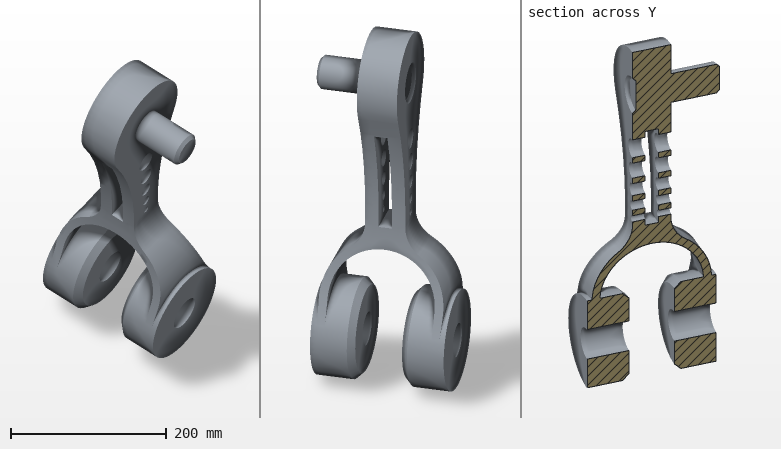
import cadquery as cq
import math

UNIT = 4.445

EYE_RADIUS = 15 * UNIT
EYE_SPACING = 82 * UNIT
WAIST_RADIUS = 80 * UNIT

STEM_HALF_THICKNESS = 6 * UNIT
PIN_RADIUS = 5 * UNIT
PIN_LENGTH = 15 * UNIT
PIN_CHAMFER = UNIT
RECESS_DEPTH = UNIT

FORK_CENTER_Z = 14 * UNIT
FORK_INNER_RADIUS = 16 * UNIT
FORK_OUTER_RADIUS = 82.7
LEG_LEAN = math.radians(2)
FORK_FILLET_RADIUS = 10 * UNIT

DISC_OUTER_X = 20 * UNIT
DISC_THICKNESS = 13 * UNIT
DISC_CHAMFER = 2 * UNIT
BORE_RADIUS = 5 * UNIT

SLOT_WIDTH = 4 * UNIT
HOLE_DIAMETERS = [6 * UNIT, 5 * UNIT, 4 * UNIT, 3 * UNIT, 2 * UNIT]
TOP_HOLE_Z = 283.8
HOLE_GAP = 2 * UNIT
SLOT_END_MARGIN = 2 * UNIT
HOLE_ROW_TOP_Z = TOP_HOLE_Z + HOLE_DIAMETERS[0] / 2

HALF_SPACING = EYE_SPACING / 2
WAIST_CENTER_Y = math.sqrt((EYE_RADIUS + WAIST_RADIUS) ** 2 - HALF_SPACING**2)
WAIST_HALF_WIDTH = WAIST_CENTER_Y - WAIST_RADIUS
TANGENT_FRACTION = EYE_RADIUS / (EYE_RADIUS + WAIST_RADIUS)
TANGENT_Y = TANGENT_FRACTION * WAIST_CENTER_Y
TANGENT_RISE = TANGENT_FRACTION * HALF_SPACING


def cylinder_x(radius, x_start, x_end, z):
    """Cylinder along +X with its axis at Y = 0 and height z."""
    return cq.Workplane("YZ", origin=(x_start, 0, z)).circle(radius).extrude(x_end - x_start)


def make_side_envelope():
    """Outline in the YZ plane: waisted sides, a round top and a flat bottom at the fork tips."""
    upper_z = EYE_SPACING - TANGENT_RISE
    return (
        cq.Workplane("YZ", origin=(-DISC_OUTER_X, 0, 0))
        .moveTo(TANGENT_Y, TANGENT_RISE)
        .threePointArc((WAIST_HALF_WIDTH, HALF_SPACING), (TANGENT_Y, upper_z))
        .threePointArc((0, EYE_SPACING + EYE_RADIUS), (-TANGENT_Y, upper_z))
        .threePointArc((-WAIST_HALF_WIDTH, HALF_SPACING), (-TANGENT_Y, TANGENT_RISE))
        .close()
        .extrude(2 * DISC_OUTER_X)
    )


def make_fork_profile():
    """Stem with a fork below it, in the XZ plane, as deep along Y as the eyes."""
    top_z = EYE_SPACING + EYE_RADIUS

    fillet_x = STEM_HALF_THICKNESS + FORK_FILLET_RADIUS
    center_distance = FORK_OUTER_RADIUS + FORK_FILLET_RADIUS
    fillet_angle = math.acos(fillet_x / center_distance)
    fillet_z = FORK_CENTER_Z + center_distance * math.sin(fillet_angle)

    def fork_point(angle):
        return (
            FORK_OUTER_RADIUS * math.cos(angle),
            FORK_CENTER_Z + FORK_OUTER_RADIUS * math.sin(angle),
        )

    def fillet_point(angle):
        return (
            fillet_x - FORK_FILLET_RADIUS * math.cos(angle),
            fillet_z - FORK_FILLET_RADIUS * math.sin(angle),
        )

    def mirrored(point):
        return (-point[0], point[1])

    leg_top = fork_point(-LEG_LEAN)
    leg_tip = (leg_top[0] - (leg_top[1] - TANGENT_RISE) * math.tan(LEG_LEAN), TANGENT_RISE)

    outer_mid = fork_point(fillet_angle / 2)
    blend_end = fork_point(fillet_angle)
    fillet_mid = fillet_point(fillet_angle / 2)

    return (
        cq.Workplane("XZ")
        .moveTo(FORK_INNER_RADIUS, TANGENT_RISE)
        .lineTo(*leg_tip)
        .lineTo(*leg_top)
        .threePointArc(outer_mid, blend_end)
        .threePointArc(fillet_mid, (STEM_HALF_THICKNESS, fillet_z))
        .lineTo(STEM_HALF_THICKNESS, top_z)
        .lineTo(-STEM_HALF_THICKNESS, top_z)
        .lineTo(-STEM_HALF_THICKNESS, fillet_z)
        .threePointArc(mirrored(fillet_mid), mirrored(blend_end))
        .threePointArc(mirrored(outer_mid), mirrored(leg_top))
        .lineTo(*mirrored(leg_tip))
        .lineTo(-FORK_INNER_RADIUS, TANGENT_RISE)
        .lineTo(-FORK_INNER_RADIUS, FORK_CENTER_Z)
        .threePointArc((0, FORK_CENTER_Z + FORK_INNER_RADIUS), (FORK_INNER_RADIUS, FORK_CENTER_Z))
        .close()
        .extrude(EYE_RADIUS, both=True)
    )


def make_disc():
    """Right-hand fork disc, chamfered on its inner face."""
    disc = cylinder_x(EYE_RADIUS, DISC_OUTER_X - DISC_THICKNESS, DISC_OUTER_X, 0)
    return disc.faces("<X").chamfer(DISC_CHAMFER)


def make_pin():
    """Pin on the +X face of the stem, chamfered at its free end."""
    pin = cylinder_x(PIN_RADIUS, 0, STEM_HALF_THICKNESS + PIN_LENGTH, EYE_SPACING)
    return pin.faces(">X").chamfer(PIN_CHAMFER)


def make_recess():
    """Conical recess in the -X face of the stem, narrowing to the pin diameter."""
    return (
        cq.Workplane("YZ", origin=(-STEM_HALF_THICKNESS, 0, EYE_SPACING))
        .circle(PIN_RADIUS + RECESS_DEPTH)
        .workplane(offset=RECESS_DEPTH)
        .circle(PIN_RADIUS)
        .loft()
    )


def make_slot():
    """Slot through the stem along Y, reaching past both ends of the hole row."""
    row_length = sum(HOLE_DIAMETERS) + HOLE_GAP * (len(HOLE_DIAMETERS) - 1)
    slot_height = row_length + 2 * SLOT_END_MARGIN
    slot = cq.Workplane("XY").box(SLOT_WIDTH, 2 * EYE_RADIUS, slot_height)
    return slot.translate((0, 0, HOLE_ROW_TOP_Z - row_length / 2))


def cut_hole_row(body):
    """Shrinking holes through the stem along X, with equal webs between them."""
    top_edge_z = HOLE_ROW_TOP_Z
    for diameter in HOLE_DIAMETERS:
        hole_z = top_edge_z - diameter / 2
        body = body.cut(cylinder_x(diameter / 2, -STEM_HALF_THICKNESS, STEM_HALF_THICKNESS, hole_z))
        top_edge_z -= diameter + HOLE_GAP
    return body


body = make_fork_profile().intersect(make_side_envelope())
disc = make_disc()
body = body.union(disc).union(disc.mirror("YZ")).union(make_pin())

body = body.cut(make_recess()).cut(make_slot())
body = cut_hole_row(body)
result = body.cut(cylinder_x(BORE_RADIUS, -DISC_OUTER_X, DISC_OUTER_X, 0))